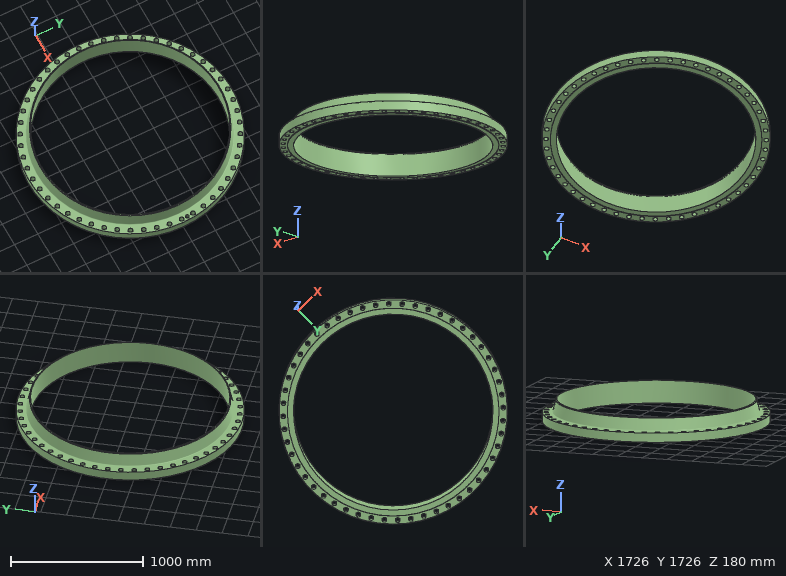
import cadquery as cq
import math

outer_radius = 863.0
total_height = 180.0
bore_radius = 752.0

face_radius = 799.0
face_height = 5.0

plate_top = 78.0

neck_base_radius = 783.0
collar_radius = 760.0
neck_base_fillet = 7.0
collar_height = 7.0
bevel_height = 5.0
collar_top = total_height - bevel_height

bolt_count = 52
bolt_circle_radius = 832.0
bolt_hole_diameter = 35.0
bolt_pitch = 360 / bolt_count

blind_diameter = 26.0
blind_depth = 35.0
blind_core_diameter = 14.0
blind_core_depth = 52.0


def revolved_body():
    """Ring made by turning the flange cross-section about Z."""
    section = [
        (bore_radius, 0),
        (face_radius, 0),
        (face_radius, face_height),
        (outer_radius, face_height),
        (outer_radius, plate_top),
        (neck_base_radius, plate_top),
        (collar_radius, collar_top - collar_height),
        (collar_radius, collar_top),
        (bore_radius, total_height),
    ]
    ring = cq.Workplane("XZ").polyline(section).close().revolve(360, (0, 0), (0, 1))
    neck_root_rank = 2
    neck_root = ring.edges(cq.selectors.RadiusNthSelector(neck_root_rank))
    return neck_root.fillet(neck_base_fillet)


def bolt_holes():
    """Through holes, the first one on the +X axis."""
    return (
        cq.Workplane("XY")
        .polarArray(bolt_circle_radius, 0, 360, bolt_count)
        .circle(bolt_hole_diameter / 2)
        .extrude(plate_top)
    )


def blind_hole():
    """Small stepped hole in the plate top, half a bolt pitch from the +X axis."""
    angle = math.radians(bolt_pitch / 2)
    centre = (bolt_circle_radius * math.cos(angle), bolt_circle_radius * math.sin(angle), plate_top)
    mouth = cq.Workplane("XY", origin=centre).circle(blind_diameter / 2).extrude(-blind_depth)
    core = cq.Workplane("XY", origin=centre).circle(blind_core_diameter / 2).extrude(-blind_core_depth)
    return mouth.union(core)


result = revolved_body().cut(bolt_holes()).cut(blind_hole())